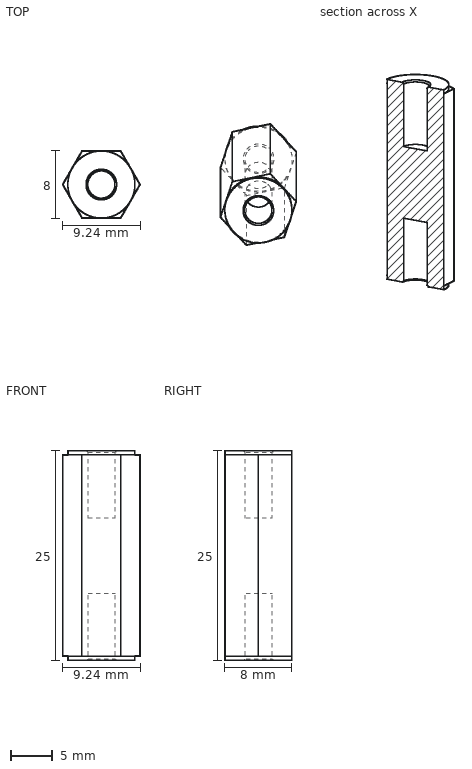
import cadquery as cq
import math

length = 25.0
across_flats = 8.0
across_corners = across_flats / math.cos(math.radians(30))
collar_height = 0.5
bore_diameter = 3.25
bore_depth = 8.0
chamfer_diameter = 3.65
chamfer_depth = (chamfer_diameter - bore_diameter) / 2


def make_body():
    """Hexagonal bar between two collars as wide as its flats, centred on the origin."""
    hex_length = length - 2 * collar_height
    hex_bar = cq.Workplane("XY").polygon(6, across_corners).extrude(hex_length / 2, both=True)
    core = cq.Workplane("XY").circle(across_flats / 2).extrude(length / 2, both=True)
    return hex_bar.union(core)


def make_top_bore():
    """Flat-bottomed bore with a conical lead-in, opening at the top end."""
    top = length / 2
    return (
        cq.Workplane("XZ")
        .moveTo(0, top)
        .lineTo(chamfer_diameter / 2, top)
        .lineTo(bore_diameter / 2, top - chamfer_depth)
        .lineTo(bore_diameter / 2, top - bore_depth)
        .lineTo(0, top - bore_depth)
        .close()
        .revolve(360, (0, 0, 0), (0, 1, 0))
    )


top_bore = make_top_bore()
bottom_bore = top_bore.mirror("XY")
result = make_body().cut(top_bore).cut(bottom_bore)